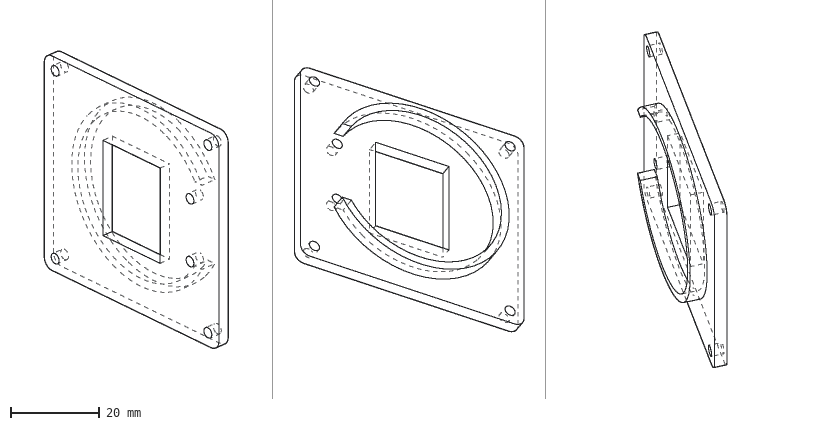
import cadquery as cq

plate_width = 57.3
plate_height = 55.0
plate_thickness = 3.0
corner_radius = 2.5

window_width = 18.75
window_height = 24.4
corner_hole_diameter = 2.6
corner_hole_pitch_x = 50.15
corner_hole_pitch_z = 48.1
side_hole_diameter = 2.5
side_hole_x = 19.2
side_hole_pitch_z = 16.1

collar_diameter = 45.5
collar_wall = 2.0
collar_height = 4.0
collar_gap = 21.55


def back_sketch(y):
    """Workplane at depth y whose normal points to the back (+Y); local x is -X."""
    return cq.Workplane("XZ", origin=(0, y, 0)).transformed(rotate=(0, 180, 0))


def make_plate():
    plate = back_sketch(0).rect(plate_width, plate_height).extrude(plate_thickness)
    return plate.edges("|Y").fillet(corner_radius)


def make_openings():
    window = back_sketch(0).rect(window_width, window_height).extrude(plate_thickness)
    corner_holes = (
        back_sketch(0)
        .rect(corner_hole_pitch_x, corner_hole_pitch_z, forConstruction=True)
        .vertices()
        .circle(corner_hole_diameter / 2)
        .extrude(plate_thickness)
    )
    side_holes = (
        back_sketch(0)
        .pushPoints([(-side_hole_x, side * side_hole_pitch_z / 2) for side in (-1, 1)])
        .circle(side_hole_diameter / 2)
        .extrude(plate_thickness)
    )
    return window.union(corner_holes).union(side_holes)


def make_collar():
    """Ring with a gap on the +X side that leaves the side holes clear."""
    outer_radius = collar_diameter / 2
    ring = (
        back_sketch(plate_thickness)
        .circle(outer_radius)
        .circle(outer_radius - collar_wall)
        .extrude(collar_height)
    )
    gap = (
        back_sketch(plate_thickness)
        .center(-outer_radius / 2, 0)
        .rect(outer_radius, collar_gap)
        .extrude(collar_height)
    )
    return ring.cut(gap)


result = make_plate().cut(make_openings()).union(make_collar())